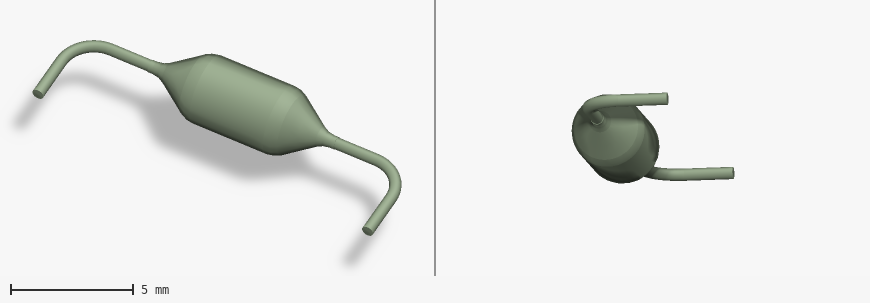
import cadquery as cq


wire_diameter = 0.5
lead_pitch = 15.24
bend_radius = 1.5
lead_tip_y = -3.5

body_diameter = 3.0
barrel_length = 4.0
shoulder_length = 1.8
sleeve_length = 0.5
sleeve_diameter = 0.54
blend_radius = 1.0

barrel_end = barrel_length / 2
shoulder_end = barrel_end + shoulder_length
body_end = shoulder_end + sleeve_length
lead_x = lead_pitch / 2


def make_body():
    """Barrel with conical shoulders and thin end sleeves, bored for the wire."""
    body_radius = body_diameter / 2
    sleeve_radius = sleeve_diameter / 2
    blank = (
        cq.Workplane("XY")
        .moveTo(-body_end, 0)
        .lineTo(-body_end, sleeve_radius)
        .lineTo(-shoulder_end, sleeve_radius)
        .lineTo(-barrel_end, body_radius)
        .lineTo(barrel_end, body_radius)
        .lineTo(shoulder_end, sleeve_radius)
        .lineTo(body_end, sleeve_radius)
        .lineTo(body_end, 0)
        .close()
        .revolve(360, (0, 0, 0), (1, 0, 0))
    )
    cone_rims = [
        edge
        for edge in blank.edges("%CIRCLE").vals()
        if abs(edge.Center().x) < (shoulder_end + body_end) / 2
    ]
    rounded = blank.newObject(cone_rims).fillet(blend_radius)
    bore = (
        cq.Workplane("YZ", origin=(-body_end, 0, 0))
        .circle(wire_diameter / 2)
        .extrude(2 * body_end)
    )
    return rounded.cut(bore).solids()


def make_wire():
    """Round wire swept from one lead tip, through the body, to the other tip."""
    bend_start = lead_x - bend_radius
    path = (
        cq.Workplane("XY")
        .moveTo(-lead_x, lead_tip_y)
        .lineTo(-lead_x, -bend_radius)
        .tangentArcPoint((-bend_start, 0), relative=False)
        .lineTo(bend_start, 0)
        .tangentArcPoint((lead_x, -bend_radius), relative=False)
        .lineTo(lead_x, lead_tip_y)
    )
    return (
        cq.Workplane("XZ", origin=(-lead_x, lead_tip_y, 0))
        .circle(wire_diameter / 2)
        .sweep(path)
    )


body = make_body()
wire = make_wire()

result = cq.Compound.makeCompound([body.val(), wire.val()])